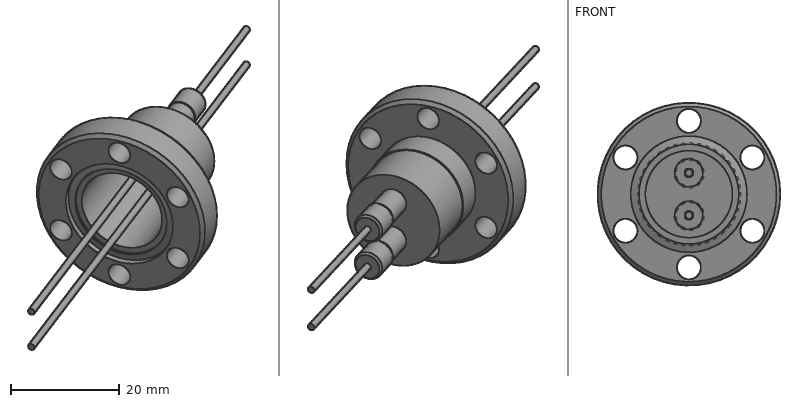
import cadquery as cq


flange_diameter = 33.7
flange_thickness = 7.1
flange_chamfer = 0.7
bolt_count = 6
first_bolt_angle = 90
bolt_circle_diameter = 27.0
bolt_hole_diameter = 4.4

recess_diameter = 21.4
recess_depth = 1.2
knife_edge_diameter = 18.4
knife_edge_depth = 0.7
knife_land_depth = 1.2

bore_diameter = 16.1
collar_diameter = 19.1
collar_length = 5.5
housing_diameter = 18.7
housing_end = 22.9
end_wall = 2.0

pin_spacing = 7.8
insulator_diameter = 5.2
insulator_length = 6.4
insulator_inner_step = 0.4
insulator_hole_diameter = 1.6
cap_diameter = 5.6
cap_length = 5.3
cap_chamfer = 0.4

pin_diameter = 1.3
pin_length = 101.6
pin_front = -41.6

floor_position = housing_end - end_wall
insulator_front = floor_position - insulator_inner_step
cap_start = housing_end + insulator_length


def rod(diameter, start, length, z=0.0):
    """Solid cylinder along +Y that starts at Y = start."""
    plane = cq.Workplane("XZ", origin=(0, start, z))
    return plane.circle(diameter / 2).extrude(-length)


def make_flange():
    """Chamfered disc with a ring of through holes for the bolts."""
    disc = rod(flange_diameter, 0, flange_thickness).edges().chamfer(flange_chamfer)
    holes = (
        cq.Workplane("XZ")
        .polarArray(bolt_circle_diameter / 2, first_bolt_angle, 360, bolt_count)
        .circle(bolt_hole_diameter / 2)
        .extrude(-flange_thickness)
    )
    return disc.cut(holes)


def make_seal_cut():
    """Ring-shaped recess that leaves a sloped knife edge around the bore."""
    profile = [
        (0, 0),
        (recess_diameter / 2, 0),
        (recess_diameter / 2, recess_depth),
        (knife_edge_diameter / 2, knife_edge_depth),
        (knife_edge_diameter / 2, knife_land_depth),
        (0, knife_land_depth),
    ]
    return cq.Workplane("XY").polyline(profile).close().revolve(360, (0, 0, 0), (0, 1, 0))


def make_housing():
    """Tube body with a slightly wider collar next to the flange."""
    body = rod(housing_diameter, flange_thickness, housing_end - flange_thickness)
    return body.union(rod(collar_diameter, flange_thickness, collar_length))


def add_pin(body, z):
    """Add an insulator through the end wall, its cap, and the pin that the cap holds."""
    insulator_span = cap_start - insulator_front
    insulator = rod(insulator_diameter, insulator_front, insulator_span, z)
    clearance_hole = rod(insulator_hole_diameter, insulator_front, insulator_span, z)
    cap = rod(cap_diameter, cap_start, cap_length, z).faces(">Y").chamfer(cap_chamfer)
    pin = rod(pin_diameter, pin_front, pin_length, z)
    return body.union(insulator).cut(clearance_hole).union(cap).union(pin)


result = make_flange().union(make_housing())
result = result.cut(make_seal_cut())
result = result.cut(rod(bore_diameter, 0, floor_position))
for side in (-1, 1):
    result = add_pin(result, side * pin_spacing / 2)